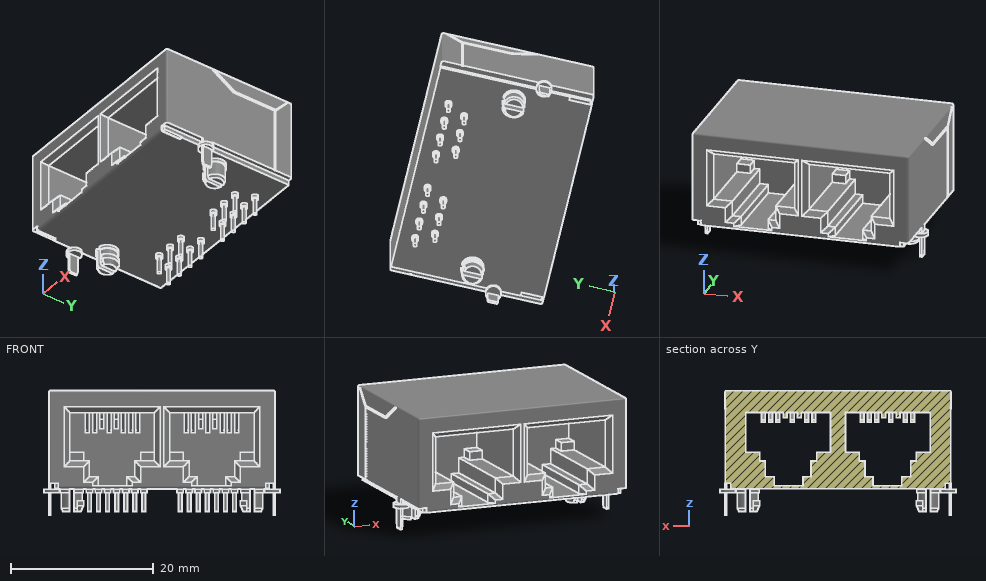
import cadquery as cq


shield_width = 31.75
depth = 21.98
height = 13.85
shield_gauge = 0.3
edge_radius = 0.3
side_gap_height = 0.8
housing_width = 30.15
front_y = -depth / 2
back_y = depth / 2
side_x = shield_width / 2

lip_width = 29.17
lip_length = 3.28
lip_thickness = 0.1
lip_radius = 0.43

port_offset = 7.0
latch_offset = 6.93
port_half_width = 6.73
port_top = 11.55
shelf_z = 3.15
step_half_width = 3.98
step_z = 0.95
latch_half_width = 2.8
port_floor = 0.5
lead_in = 0.8
port_depth = 13.92
port_back_y = front_y + port_depth
stop_height = 1.23
stop_length = 2.0

contact_count = 8
contact_row_span = 7.1
contact_pitch = contact_row_span / (contact_count - 1)
contact_width = 0.55
contact_thickness = 0.33
contact_reach = 2.0
contact_end_z = 7.92
short_contacts = (2, 4)
short_contact_end_z = 8.5
short_contact_bend_z = 9.78
short_contact_bend_reach = 0.65
short_contact_reach = 1.33

terminal_count = 7
terminal_row_span = 7.62
terminal_pitch = terminal_row_span / (terminal_count - 1)
terminal_first_x = 2.55
terminal_rows_y = (8.7, 6.13)
terminal_diameter = 0.53
terminal_bottom = -3.15
collar_height = 0.53
collar_diameter = 0.93

peg_x = 12.65
peg_y = -0.15
peg_diameter = 3.0
peg_collar_diameter = 3.25
peg_chamfer_height = 0.45
peg_chamfer_run = 0.23
peg_slot = 0.6
barb_diameter = 3.38
barb_top = -1.62
barb_bottom = -2.32
barb_tip_diameter = 2.6
barb_inset = 0.75

tab_y = -3.85
tab_width = 1.5
tab_bottom = -3.65
tab_tip_height = 0.6
tab_tip_inset = 0.13
tab_disc_x = 15.48
tab_disc_diameter = 2.2

seam_depth = 0.1
seam_width = 0.2
seam_y = 8.0
seam_z = 11.35
seam_top = height - edge_radius
seam_back_y = 10.08
seam_bend_y = 0.85
seam_front_y = -2.65


def block(x_range, y_range, z_range):
    """Axis-aligned box given by its limits."""
    (x0, x1), (y0, y1), (z0, z1) = x_range, y_range, z_range
    return cq.Workplane("XY").box(x1 - x0, y1 - y0, z1 - z0, centered=False).translate((x0, y0, z0))


def post(x, y, diameter, z_top, z_bottom):
    """Upright cylinder."""
    return cq.Workplane("XY", origin=(x, y, z_bottom)).circle(diameter / 2).extrude(z_top - z_bottom)


def both_sides(solid):
    """The solid together with its mirror image across the YZ plane."""
    return solid.union(solid.mirror("YZ"))


def make_shell():
    """Shield block with rounded edges, standing on a narrower housing with a folded front lip."""
    shell = block((-side_x, side_x), (front_y, back_y), (0, height))
    shell = shell.edges("|Z or >Z").fillet(edge_radius)
    side_gap = block((housing_width / 2, side_x), (front_y, back_y), (0, side_gap_height))
    front_gap = block((lip_width / 2, side_x), (front_y, front_y + shield_gauge), (0, side_gap_height))
    lip_step = block((lip_width / 2, side_x), (front_y, front_y + lip_length), (0, lip_thickness))
    shell = shell.cut(both_sides(side_gap.union(front_gap).union(lip_step)))
    return shell.edges(cq.selectors.BoxSelector(
        (-lip_width, front_y - lip_thickness, -lip_thickness),
        (lip_width, front_y + lip_thickness, lip_thickness),
    )).edges("|X").fillet(lip_radius)


def port_outline(inset):
    """Stepped port profile as X, Z points, all edges but the floor moved inwards by the inset."""
    latch_shift = latch_offset - port_offset
    wide = port_half_width - inset
    step = step_half_width - inset
    latch = latch_half_width - inset
    return [
        (-wide, port_top - inset),
        (wide, port_top - inset),
        (wide, shelf_z + inset),
        (step, shelf_z + inset),
        (step, step_z + inset),
        (latch + latch_shift, step_z + inset),
        (latch + latch_shift, port_floor),
        (-latch + latch_shift, port_floor),
        (-latch + latch_shift, step_z + inset),
        (-step, step_z + inset),
        (-step, shelf_z + inset),
        (-wide, shelf_z + inset),
    ]


def port_cavity():
    """Port opening centred on X = 0: tapered lead-in, straight passage, less the two plug stops."""
    mouth = cq.Workplane("XZ", origin=(0, front_y, 0)).polyline(port_outline(0)).close()
    mouth = mouth.workplane(offset=-lead_in).polyline(port_outline(lead_in)).close().loft(ruled=True)
    passage = cq.Workplane("XZ", origin=(0, front_y + lead_in, 0)).polyline(port_outline(lead_in)).close()
    passage = passage.extrude(lead_in - port_depth)
    stop = block(
        (step_half_width, port_half_width),
        (port_back_y - stop_length, port_back_y),
        (shelf_z + lead_in, shelf_z + lead_in + stop_height),
    )
    return mouth.union(passage).cut(both_sides(stop))


def long_contact(plane):
    """Straight spring contact sloping from the port ceiling down to the back wall."""
    ceiling = port_top - lead_in
    tip_y = port_back_y - contact_reach
    return plane.polyline([
        (tip_y, ceiling),
        (port_back_y, contact_end_z),
        (port_back_y, contact_end_z + contact_thickness),
        (tip_y + contact_thickness, ceiling),
    ]).close().extrude(contact_width)


def short_contact(plane):
    """Spring contact with a rounded bend below the port ceiling."""
    ceiling = port_top - lead_in
    bend_radius = ceiling - short_contact_bend_z
    profile = plane.moveTo(port_back_y, ceiling).lineTo(port_back_y - short_contact_reach, ceiling)
    profile = profile.radiusArc((port_back_y - short_contact_bend_reach, short_contact_bend_z), -bend_radius)
    return profile.lineTo(port_back_y, short_contact_end_z).close().extrude(contact_width)


def port_contacts(center_x):
    """Row of contacts in one port."""
    row = cq.Workplane("XY")
    for index in range(contact_count):
        x = center_x + index * contact_pitch - contact_row_span / 2
        plane = cq.Workplane("YZ", origin=(x - contact_width / 2, 0, 0))
        row = row.add(short_contact(plane) if index in short_contacts else long_contact(plane))
    return row.combine()


def terminals():
    """Collared terminals of one port, staggered between two rows."""
    group = cq.Workplane("XY")
    for index in range(terminal_count):
        x = terminal_first_x + index * terminal_pitch
        y = terminal_rows_y[index % len(terminal_rows_y)]
        collar = post(x, y, collar_diameter, 0, -collar_height)
        group = group.add(collar.union(post(x, y, terminal_diameter, 0, terminal_bottom)))
    return group.combine()


def mounting_peg():
    """Collared peg split along Y, with a tapered barb on the half nearer the middle."""
    peg = post(peg_x, peg_y, peg_diameter, 0, terminal_bottom)
    peg = peg.faces("<Z").chamfer(peg_chamfer_height, peg_chamfer_run)
    peg = peg.union(post(peg_x, peg_y, peg_collar_diameter, 0, -collar_height))
    barb = post(peg_x, peg_y, barb_diameter, barb_top, terminal_bottom)
    barb = barb.faces("<Z").chamfer(barb_bottom - terminal_bottom, (barb_diameter - barb_tip_diameter) / 2)
    barb = barb.intersect(block(
        (peg_x - barb_diameter, peg_x - barb_inset),
        (peg_y - barb_diameter, peg_y + barb_diameter),
        (terminal_bottom, barb_top),
    ))
    slot = block(
        (peg_x - peg_slot / 2, peg_x + peg_slot / 2),
        (peg_y - peg_collar_diameter, peg_y + peg_collar_diameter),
        (terminal_bottom, 0),
    )
    return peg.union(barb).cut(slot)


def grounding_tab():
    """Tab running down from the shield side, tapered at its tip, with a round collar."""
    half = tab_width / 2
    tip_half = half - tab_tip_inset
    tab = cq.Workplane("YZ", origin=(side_x - shield_gauge, 0, 0)).polyline([
        (tab_y - half, side_gap_height),
        (tab_y + half, side_gap_height),
        (tab_y + half, tab_bottom + tab_tip_height),
        (tab_y + tip_half, tab_bottom),
        (tab_y - tip_half, tab_bottom),
        (tab_y - half, tab_bottom + tab_tip_height),
    ]).close().extrude(shield_gauge)
    return tab.union(post(tab_disc_x, tab_y, tab_disc_diameter, 0, -collar_height))


def seam_groove():
    """Shallow groove where the shield panels meet: a bent run near the top and an upright run."""
    half = seam_width / 2
    plane = cq.Workplane("YZ", origin=(side_x - seam_depth, 0, 0))
    run = plane.polyline([
        (seam_back_y + half, seam_top),
        (seam_y + half, seam_z - half),
        (seam_bend_y - half, seam_z - half),
        (seam_front_y - 2 * half, seam_top),
        (seam_front_y + 2 * half, seam_top),
        (seam_bend_y + half, seam_z + half),
        (seam_y + half, seam_z + half),
        (seam_back_y, seam_top),
    ]).close().extrude(seam_depth)
    upright = block(
        (side_x - seam_depth, side_x),
        (seam_y - half, seam_y + half),
        (side_gap_height, seam_z),
    )
    return run.union(upright)


result = make_shell().cut(both_sides(seam_groove()))
for side in (-1, 1):
    cavity = port_cavity()
    if side < 0:
        cavity = cavity.mirror("YZ")
    result = result.cut(cavity.translate((side * port_offset, 0, 0)))
    result = result.union(port_contacts(side * latch_offset))
for feature in (terminals(), mounting_peg(), grounding_tab()):
    result = result.union(both_sides(feature))